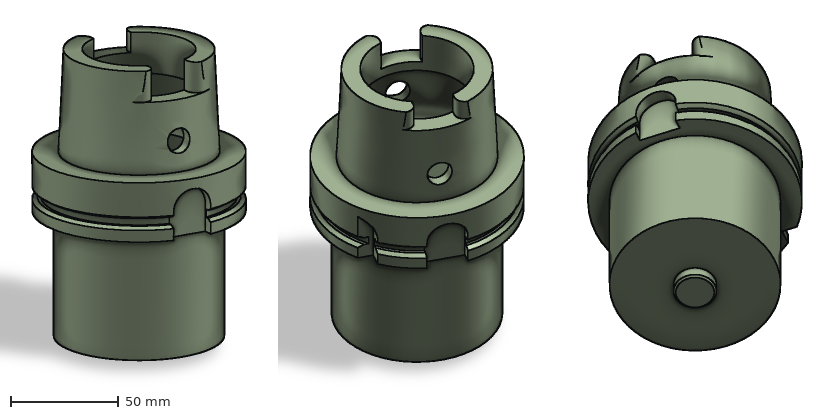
import cadquery as cq
import math


taper_length = 50.0
taper_base_diameter = 75.5
taper_top_diameter = 70.8

flange_diameter = 100.0
flange_thickness = 29.0
groove_center_z = -20.0
groove_floor_width = 3.75
groove_floor_diameter = 92.0
groove_mouth_width = 6.5
groove_flank_angle = 30.0

body_diameter = 80.0
body_bottom_z = -90.0
pin_diameter = 20.0
pin_length = 5.9
pin_chamfer = 1.0

bore_diameter = 53.06
bore_depth = 20.0
chamber_diameter = 63.09
chamber_end_z = 10.0
shoulder_arc_radius = 10.0
pit_floor_z = -12.0
pit_corner_radius = 1.5

drive_slot_width = 20.0
drive_slot_depths = {-1: 10.0, 1: 15.0}
drive_tip_radius = 5.0
drive_tip_reach = 32.05
drive_tip_flat = 8.0

cross_hole_diameter = 12.0
cross_hole_z = 15.0

rim_slot_width = 20.0
rim_slot_top_z = -5.0
rim_slot_floor = 44.0
notch_floor = 31.75
notch_wall_y = 31.1


def shank_blank():
    """Revolved outside of the part, including the gripper groove."""
    flange_radius = flange_diameter / 2
    groove_radius = groove_floor_diameter / 2
    flank_height = (groove_mouth_width - groove_floor_width) / 2
    flank_radius = flange_radius - flank_height / math.tan(math.radians(groove_flank_angle))
    mouth_top = groove_center_z + groove_mouth_width / 2
    mouth_bottom = groove_center_z - groove_mouth_width / 2
    floor_top = groove_center_z + groove_floor_width / 2
    floor_bottom = groove_center_z - groove_floor_width / 2
    pin_bottom_z = body_bottom_z - pin_length
    pin_radius = pin_diameter / 2
    profile = [
        (0, taper_length),
        (taper_top_diameter / 2, taper_length),
        (taper_base_diameter / 2, 0),
        (flange_radius, 0),
        (flange_radius, mouth_top),
        (flank_radius, floor_top),
        (groove_radius, floor_top),
        (groove_radius, floor_bottom),
        (flank_radius, floor_bottom),
        (flange_radius, mouth_bottom),
        (flange_radius, -flange_thickness),
        (body_diameter / 2, -flange_thickness),
        (body_diameter / 2, body_bottom_z),
        (pin_radius, body_bottom_z),
        (pin_radius, pin_bottom_z + pin_chamfer),
        (pin_radius - pin_chamfer, pin_bottom_z),
        (0, pin_bottom_z),
    ]
    return cq.Workplane("YZ").polyline(profile).close().revolve()


def clamping_cavity():
    """Bore that steps out to a chamber, then curves in to a pit with a rounded floor corner."""
    bore_radius = bore_diameter / 2
    chamber_radius = chamber_diameter / 2
    bore_end_z = taper_length - bore_depth
    shoulder_center_x = chamber_radius - shoulder_arc_radius
    shoulder_angle = math.acos((bore_radius - shoulder_center_x) / shoulder_arc_radius)
    shoulder_middle_x = shoulder_center_x + shoulder_arc_radius * math.cos(shoulder_angle / 2)
    shoulder_middle_z = chamber_end_z - shoulder_arc_radius * math.sin(shoulder_angle / 2)
    shoulder_end_z = chamber_end_z - shoulder_arc_radius * math.sin(shoulder_angle)
    corner_center_x = bore_radius - pit_corner_radius
    corner_center_z = pit_floor_z + pit_corner_radius
    corner_offset = pit_corner_radius * math.sqrt(0.5)
    return (
        cq.Workplane("YZ")
        .moveTo(0, taper_length)
        .lineTo(bore_radius, taper_length)
        .lineTo(bore_radius, bore_end_z)
        .lineTo(chamber_radius, bore_end_z)
        .lineTo(chamber_radius, chamber_end_z)
        .threePointArc((shoulder_middle_x, shoulder_middle_z), (bore_radius, shoulder_end_z))
        .lineTo(bore_radius, corner_center_z)
        .threePointArc(
            (corner_center_x + corner_offset, corner_center_z - corner_offset),
            (corner_center_x, pit_floor_z),
        )
        .lineTo(0, pit_floor_z)
        .close()
        .revolve()
    )


def drive_slot(side):
    """Slot on one side (-1 or +1 along X) that flares round the rounded tips of the taper wall."""
    depth = drive_slot_depths[side]
    half_width = drive_slot_width / 2
    radius = drive_tip_radius
    tip_x = drive_tip_reach - radius
    tip_y = half_width + radius
    end_angle = math.atan2(tip_y, tip_x)
    middle_angle = (end_angle - math.pi / 2) / 2
    arc_middle_x = tip_x + radius * math.cos(middle_angle)
    arc_middle_y = tip_y + radius * math.sin(middle_angle)
    arc_end_x = tip_x + radius * math.cos(end_angle)
    arc_end_y = tip_y + radius * math.sin(end_angle)
    flat_end_x = arc_end_x - drive_tip_flat * math.sin(end_angle)
    flat_end_y = arc_end_y + drive_tip_flat * math.cos(end_angle)
    outer_x = flange_diameter / 2
    cutter = (
        cq.Workplane("XY", origin=(0, 0, taper_length - depth))
        .moveTo(0, -half_width)
        .lineTo(tip_x, -half_width)
        .threePointArc((arc_middle_x, -arc_middle_y), (arc_end_x, -arc_end_y))
        .lineTo(flat_end_x, -flat_end_y)
        .lineTo(outer_x, -flat_end_y)
        .lineTo(outer_x, flat_end_y)
        .lineTo(flat_end_x, flat_end_y)
        .lineTo(arc_end_x, arc_end_y)
        .threePointArc((arc_middle_x, arc_middle_y), (tip_x, half_width))
        .lineTo(0, half_width)
        .close()
        .extrude(depth)
    )
    return cutter if side > 0 else cutter.mirror("YZ")


def cross_hole():
    """Hole along X through both walls of the taper."""
    return (
        cq.Workplane("YZ")
        .center(0, cross_hole_z)
        .circle(cross_hole_diameter / 2)
        .extrude(taper_base_diameter / 2, both=True)
    )


def rim_slot(side, floor_distance, center_y):
    """Round-topped slot open at the flange underside, with a flat floor normal to X."""
    radius = rim_slot_width / 2
    arch_center_z = rim_slot_top_z - radius
    depth = flange_diameter / 2 - floor_distance
    return (
        cq.Workplane("YZ", origin=(side * floor_distance, center_y, 0))
        .moveTo(-radius, -flange_thickness)
        .lineTo(-radius, arch_center_z)
        .threePointArc((0, rim_slot_top_z), (radius, arch_center_z))
        .lineTo(radius, -flange_thickness)
        .close()
        .extrude(side * depth)
    )


result = shank_blank().cut(clamping_cavity())
for side in (-1, 1):
    result = result.cut(drive_slot(side))
    result = result.cut(rim_slot(side, rim_slot_floor, 0))
result = result.cut(cross_hole())
result = result.cut(rim_slot(-1, notch_floor, notch_wall_y + rim_slot_width / 2))